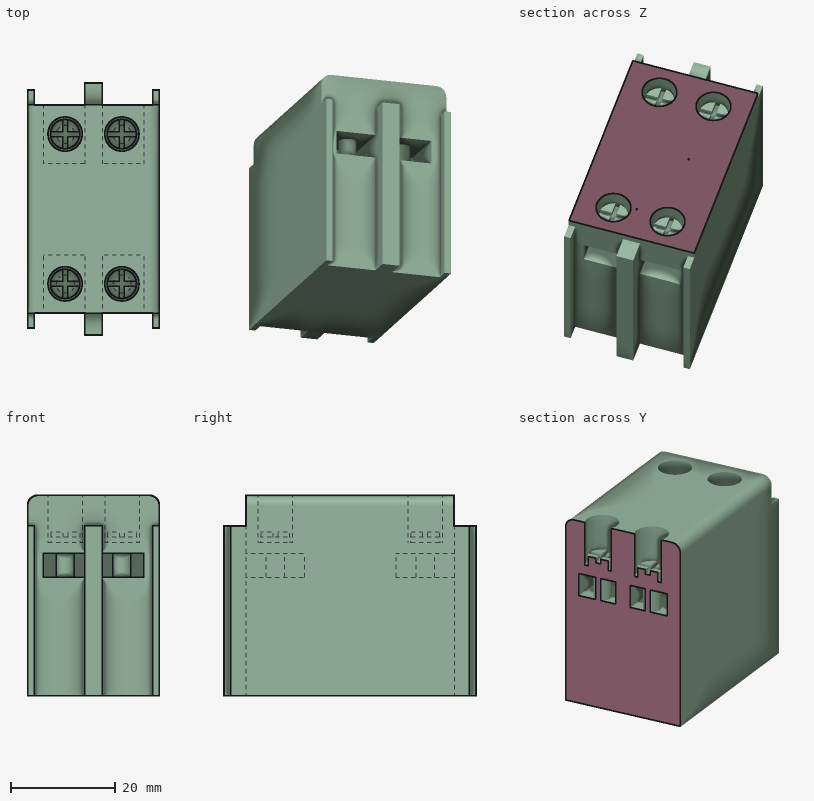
import cadquery as cq

width = 25.3
height = 38.5
block_length = 40.0
top_edge_radius = 2.0

barrier_height = 32.55
plate_length = 45.7
plate_thickness = 1.3
fin_length = 48.4
fin_thickness = 3.4

screw_spacing_x = 10.9
screw_end_distance = 5.6
screw_spacing_y = block_length - 2 * screw_end_distance
well_diameter = 6.6
well_depth = 9.0
head_diameter = 5.6
head_height = 2.0
slot_width = 0.95
slot_depth = 0.95
shank_diameter = 3.5

opening_floor = 22.75
opening_height = 4.55
opening_outer_span = 19.25
opening_width = (opening_outer_span - fin_thickness) / 2
opening_depth = 2 * screw_end_distance

well_floor = height - well_depth
head_top = well_floor + head_height
screw_positions = [
    (side * screw_spacing_x / 2, end * screw_spacing_y / 2)
    for side in (-1, 1)
    for end in (-1, 1)
]


def upright_box(size_x, size_y, size_z, center_x=0.0, center_y=0.0, bottom=0.0):
    """Box centred at a point in X and Y, standing on the given bottom level."""
    return (
        cq.Workplane("XY")
        .box(size_x, size_y, size_z, centered=(True, True, False))
        .translate((center_x, center_y, bottom))
    )


def make_housing():
    """Block with rounded long top edges, two side plates and the centre fin."""
    housing = upright_box(width, block_length, height)
    housing = housing.edges(">Z and |Y").fillet(top_edge_radius)
    plate_center = (width - plate_thickness) / 2
    for side in (-1, 1):
        plate = upright_box(plate_thickness, plate_length, barrier_height, side * plate_center)
        housing = housing.union(plate)
    return housing.union(upright_box(fin_thickness, fin_length, barrier_height))


def make_openings():
    """Four blind terminal openings that start at the end faces of the block."""
    center_x = (fin_thickness + opening_width) / 2
    center_y = (block_length - opening_depth) / 2
    openings = cq.Workplane("XY")
    for side in (-1, 1):
        for end in (-1, 1):
            opening = upright_box(
                opening_width, opening_depth, opening_height, side * center_x, end * center_y, opening_floor
            )
            openings = openings.add(opening)
    return openings.combine()


def make_screw():
    """Cross-slotted head on a shank that reaches down to the opening floor."""
    shank = (
        cq.Workplane("XY")
        .workplane(offset=opening_floor)
        .circle(shank_diameter / 2)
        .extrude(well_floor - opening_floor)
    )
    head = cq.Workplane("XY").workplane(offset=well_floor).circle(head_diameter / 2).extrude(head_height)
    slot_floor = head_top - slot_depth
    slot_x = upright_box(head_diameter, slot_width, slot_depth, bottom=slot_floor)
    slot_y = upright_box(slot_width, head_diameter, slot_depth, bottom=slot_floor)
    return shank.union(head.cut(slot_x).cut(slot_y))


def make_wells():
    """Round access wells above the screws."""
    return (
        cq.Workplane("XY")
        .workplane(offset=well_floor)
        .pushPoints(screw_positions)
        .circle(well_diameter / 2)
        .extrude(well_depth)
    )


result = make_housing().cut(make_openings()).cut(make_wells())
screw = make_screw()
for screw_x, screw_y in screw_positions:
    result = result.union(screw.translate((screw_x, screw_y, 0)))